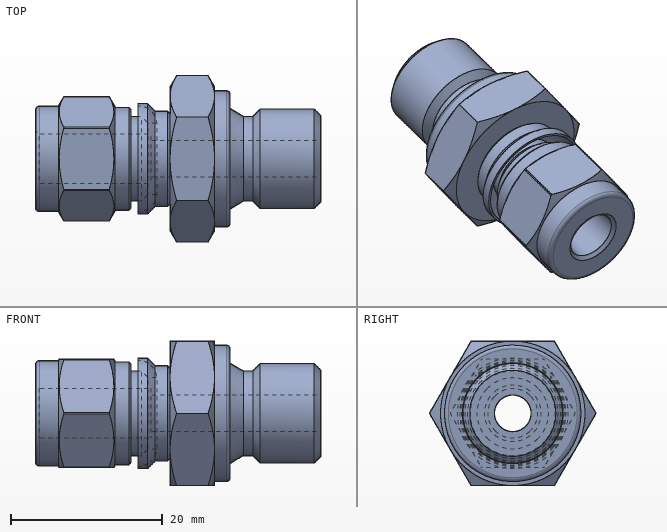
import cadquery as cq
import math


CHAMFER_SLOPE = math.tan(math.radians(30))

nut_collar_dia = 13.9
nut_collar_fillet = 0.5
nut_hex_start = 3.0
nut_hex_end = 10.45
nut_hex_flats = 14.29
nut_hex_corner_dia = 16.4
nut_skirt_dia = 13.6
nut_skirt_chamfer = 0.3
nut_end = 12.6

neck_dia = 11.2
ring_start = 13.5
ring_dia = 14.6
ring_length = 1.27
recess_rim_dia = 14.0
recess_root_dia = 9.4
recess_wall_radius = 2.5
undercut_start = 13.95
shoulder_dia = 12.6
shoulder_chamfer = 0.35

hex_start = 17.75
hex_end = 23.6
hex_flats = 19.05
hex_corner_dia = hex_flats / math.cos(math.radians(30))
flange_dia = 18.0
flange_end = 25.65
flange_fillet = 0.5

overall_length = 37.64
relief_dia = 11.2
relief_start = 27.4
relief_end = 28.65
relief_cone_dia = 13.28
thread_dia = 13.16
thread_chamfer = 0.9

tube_bore_dia = 6.55
tube_bore_depth = 15.2
tube_bore_chamfer = 0.45
through_bore_dia = 4.8


def cylinder(start, end, dia):
    """Solid cylinder along X between two axial positions."""
    return cq.Workplane("YZ", origin=(start, 0, 0)).circle(dia / 2).extrude(end - start)


def revolved(points):
    """Solid of revolution about X from (axial position, radius) points."""
    return cq.Workplane("XY").polyline(points).close().revolve(360, (0, 0, 0), (1, 0, 0))


def hexagon(start, end, flats, corner_dia, face_dia):
    """Hexagon with flats facing +Z and -Z, its corners coned down to face_dia at both ends."""
    across_corners = flats / math.cos(math.radians(30))
    prism = cq.Workplane("YZ", origin=(start, 0, 0)).polygon(6, across_corners).extrude(end - start)
    depth = (corner_dia - face_dia) / 2 * CHAMFER_SLOPE
    envelope = revolved([
        (start, 0),
        (start, face_dia / 2),
        (start + depth, corner_dia / 2),
        (end - depth, corner_dia / 2),
        (end, face_dia / 2),
        (end, 0),
    ])
    return prism.intersect(envelope)


def compression_nut():
    collar = cylinder(0, nut_hex_start, nut_collar_dia).faces("<X").edges().fillet(nut_collar_fillet)
    flats = hexagon(nut_hex_start, nut_hex_end, nut_hex_flats, nut_hex_corner_dia, nut_collar_dia)
    skirt = cylinder(nut_hex_end, nut_end, nut_skirt_dia).faces(">X").edges().chamfer(nut_skirt_chamfer)
    return collar.union(flats).union(skirt)


def ring_recess():
    """Annular recess in the nut-side face of the ring, between an undercut root and a rounded wall."""
    neck_radius = neck_dia / 2
    root_radius = recess_root_dia / 2
    rim_radius = recess_rim_dia / 2
    arc_center_radius = rim_radius - recess_wall_radius
    sweep = math.acos((root_radius - arc_center_radius) / recess_wall_radius)

    def wall_point(angle):
        return (
            ring_start + recess_wall_radius * math.sin(angle),
            arc_center_radius + recess_wall_radius * math.cos(angle),
        )

    return (
        cq.Workplane("XY")
        .moveTo(ring_start, neck_radius)
        .lineTo(undercut_start, neck_radius)
        .lineTo(undercut_start + neck_radius - root_radius, root_radius)
        .lineTo(*wall_point(sweep))
        .threePointArc(wall_point(sweep / 2), (ring_start, rim_radius))
        .close()
        .revolve(360, (0, 0, 0), (1, 0, 0))
    )


def body_neck():
    neck = cylinder(nut_end, ring_start, neck_dia)
    ring_end = ring_start + ring_length
    ring_radius = ring_dia / 2
    shoulder_radius = shoulder_dia / 2
    ring_and_shoulder = revolved([
        (ring_start, 0),
        (ring_start, ring_radius),
        (ring_end, ring_radius),
        (ring_end + ring_radius - shoulder_radius, shoulder_radius),
        (hex_start - shoulder_chamfer, shoulder_radius),
        (hex_start, shoulder_radius - shoulder_chamfer),
        (hex_start, 0),
    ])
    return neck.union(ring_and_shoulder).cut(ring_recess())


def body_hexagon():
    flats = hexagon(hex_start, hex_end, hex_flats, hex_corner_dia, hex_flats)
    flange = cylinder(hex_end, flange_end, flange_dia).faces(">X").edges().fillet(flange_fillet)
    return flats.union(flange)


def thread_end():
    relief_radius = relief_dia / 2
    thread_radius = thread_dia / 2
    return revolved([
        (flange_end, 0),
        (flange_end, relief_cone_dia / 2),
        (relief_start, relief_radius),
        (relief_end, relief_radius),
        (relief_end + thread_radius - relief_radius, thread_radius),
        (overall_length - thread_chamfer, thread_radius),
        (overall_length, thread_radius - thread_chamfer),
        (overall_length, 0),
    ])


def bore():
    tube_radius = tube_bore_dia / 2
    through_radius = through_bore_dia / 2
    return revolved([
        (0, 0),
        (0, tube_radius + tube_bore_chamfer),
        (tube_bore_chamfer, tube_radius),
        (tube_bore_depth, tube_radius),
        (tube_bore_depth, through_radius),
        (overall_length, through_radius),
        (overall_length, 0),
    ])


result = compression_nut().union(body_neck()).union(body_hexagon()).union(thread_end()).cut(bore())